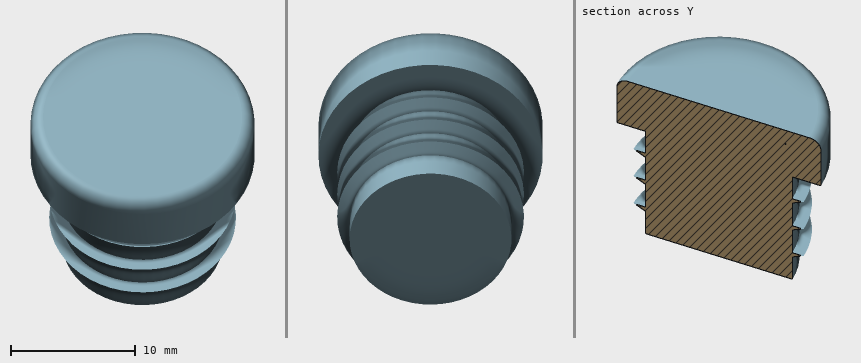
import cadquery as cq

head_diameter = 18.0
head_height = 5.0
head_edge_radius = 1.0

stem_diameter = 13.0
stem_length = 11.4

fin_diameter = 15.0
fin_height = 0.5
fin_pitch = 3.0
fin_count = 3


def make_head():
    """Round cap with a rounded upper edge, sitting on the stem."""
    head = cq.Workplane("XY").workplane(offset=stem_length).circle(head_diameter / 2).extrude(head_height)
    return head.faces(">Z").edges().fillet(head_edge_radius)


def make_stem():
    return cq.Workplane("XY").circle(stem_diameter / 2).extrude(stem_length)


def make_fin(top_z):
    """Cone that widens from the stem surface up to the fin rim at top_z."""
    profile = [
        (0, top_z - fin_height),
        (stem_diameter / 2, top_z - fin_height),
        (fin_diameter / 2, top_z),
        (0, top_z),
    ]
    return cq.Workplane("XZ").polyline(profile).close().revolve(360, (0, 0), (0, 1))


result = make_stem().union(make_head())
for fin_number in range(1, fin_count + 1):
    result = result.union(make_fin(fin_number * fin_pitch))